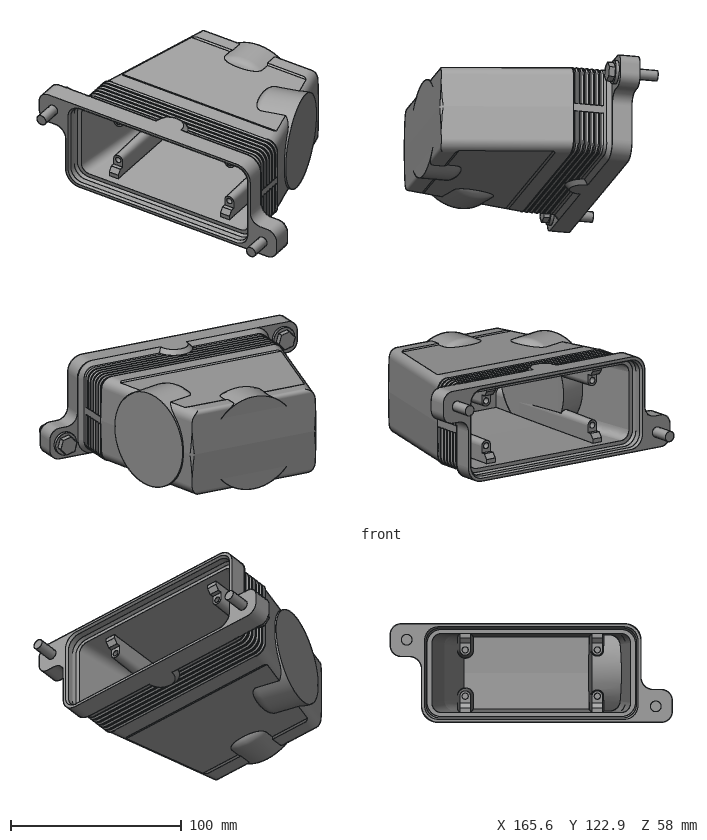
import cadquery as cq
import math

flange_half_x = 64.4
flange_half_z = 29.0
flange_height = 11.9
flange_corner = 9.6

ear_end_x = 82.8
ear_inner_z = 9.6
ear_corner = 6.6
ear_root_radius = 7.1
screw_x = 73.0
screw_z = 19.5

shank_radius = 3.1
shank_length = 12.7
washer_radius = 7.0
washer_height = 2.0
hex_circle_radius = 5.6
hex_height = 3.6
hex_turn = 13.0

collar_half_x = 61.2
collar_half_z = 26.3
collar_corner = 6.6
collar_end_y = 34.6
foot_chamfer = 2.6

groove_count = 6
groove_pitch = 3.06
first_groove_y = 17.7
groove_width = 2.3
groove_angle = 30.0
end_strip_half_z = 2.3

hood_top_y = 110.2
hood_top_half_x = 41.7
hood_draft = 2.0
hood_overlap = 3.3
hood_edge_radius = 6.5
hood_top_radius = 2.5

panel_depth = 0.5
panel_low_y = 43.5
panel_high_y = 100.0
panel_ramp = 1.5

port_radius = flange_half_z
port_end_radius = 7.0
top_port_end_y = 109.5
top_port_length = 23.2
side_port_tilt = 14.6
side_port_x = 25.5
side_port_y = 68.5
side_port_length = 26.8

pad_radius = 8.6
pad_flare = flange_half_z - collar_half_z

seat_mouth = (62.5, 27.1)
seat_waist = (61.7, 26.3)
seat_floor = (61.0, 25.5)
seat_lead_in = 1.7
seat_waist_end_y = 5.5
seat_depth = 7.6
seat_corner = 8.1
cavity_corner = 5.6
cavity_mouth = (58.3, 23.2)
cavity_waist = (50.6, 22.2)
cavity_waist_y = 61.2
cavity_back = (39.4, 21.0)
cavity_back_y = 106.0
port_wall_back_x = 33.5
port_wall_front_x = 35.5
port_wall_front_y = 46.3

post_x = 38.7
post_hole_z = 13.5
post_hole_radius = 1.8
post_hole_depth = 10.0
post_half_width = 3.1
post_reach = 10.6
post_face_y = 17.2
post_draft = 1.8
lug_y = 12.4
lug_shoulder_y = 14.7
lug_inner_z = 20.5
lug_foot_z = 17.5


def plane_at(y):
    """Plane across the hood at height y, facing up its depth, with local y along Z."""
    return cq.Plane(origin=(0, y, 0), xDir=(-1, 0, 0), normal=(0, 1, 0))


def rounded_rectangle(half_x, half_z, corner):
    return cq.Sketch().rect(2 * half_x, 2 * half_z).vertices().fillet(corner)


def rounded_block(half_x, half_z, corner, y_start, y_end, taper=0):
    outline = rounded_rectangle(half_x, half_z, corner)
    return cq.Workplane(plane_at(y_start)).placeSketch(outline).extrude(y_end - y_start, taper=taper)


def rounded_funnel(low, high, corner, y_low, y_high):
    """Straight-sided transition between two rounded rectangles."""
    lower = rounded_rectangle(*low, corner)
    upper = rounded_rectangle(*high, corner).moved(cq.Location(cq.Vector(0, 0, y_high - y_low)))
    return cq.Workplane(plane_at(y_low)).placeSketch(lower, upper).loft(ruled=True)


def box_between(x_range, y_range, z_range):
    size = [high - low for low, high in (x_range, y_range, z_range)]
    corner = (x_range[0], y_range[0], z_range[0])
    return cq.Workplane().box(*size, centered=False).translate(corner)


def half_turn(shape):
    return shape.rotate((0, 0, 0), (0, 1, 0), 180)


def both_faces(shape):
    return shape.union(shape.mirror("XY"))


def make_flange():
    ear = box_between((-ear_end_x, 0), (0, flange_height), (ear_inner_z, flange_half_z))
    ear = ear.edges("|Y and <X").fillet(ear_corner)
    plate = box_between(
        (-flange_half_x, flange_half_x), (0, flange_height), (-flange_half_z, flange_half_z)
    )
    plate = plate.edges("|Y and ((<X and <Z) or (>X and >Z))").fillet(flange_corner)
    flange = plate.union(ear).union(half_turn(ear))
    inner_corners = cq.selectors.BoxSelector(
        (-flange_half_x - 0.2, -1.7, ear_inner_z - 0.2),
        (-flange_half_x + 0.2, flange_height + 1.7, ear_inner_z + 0.2),
        boundingbox=True,
    )
    for _ in range(2):
        flange = half_turn(flange.edges(inner_corners).fillet(ear_root_radius))
    return flange


def make_screw():
    head_y = flange_height + washer_height
    shank = cq.Workplane(plane_at(-shank_length)).circle(shank_radius).extrude(shank_length + flange_height)
    washer = cq.Workplane(plane_at(flange_height)).circle(washer_radius).extrude(washer_height)
    head = cq.Workplane(plane_at(head_y)).polygon(6, 2 * hex_circle_radius).extrude(hex_height)
    head = head.rotate((0, 0, 0), (0, 1, 0), hex_turn)
    return shank.union(washer).union(head).translate((-screw_x, 0, screw_z))


def make_groove(y_middle):
    """V-shaped ring cut, interrupted by a plain strip on both narrow ends."""
    half_width = groove_width / 2
    groove = rounded_block(
        collar_half_x + 1.7, collar_half_z + 1.7, collar_corner, y_middle - half_width, y_middle + half_width
    )
    half_core = rounded_block(
        collar_half_x, collar_half_z, collar_corner, y_middle - half_width, y_middle, taper=groove_angle
    )
    mirrored_core = half_core.mirror("XZ", (0, y_middle, 0))
    strip = cq.Workplane().box(3 * collar_half_x, 2 * groove_width, 2 * end_strip_half_z)
    return groove.cut(half_core).cut(mirrored_core).cut(strip.translate((0, y_middle, 0)))


def make_collar():
    collar = rounded_block(collar_half_x, collar_half_z, collar_corner, 0, collar_end_y)
    for index in range(groove_count):
        collar = collar.cut(make_groove(first_groove_y + index * groove_pitch))
    foot = rounded_block(
        collar_half_x + foot_chamfer,
        collar_half_z + foot_chamfer,
        flange_corner,
        flange_height,
        flange_height + foot_chamfer,
        taper=45,
    )
    return collar.union(foot)


def make_panel_recess():
    profile = [
        (panel_low_y, collar_half_z),
        (panel_low_y + panel_ramp, collar_half_z - panel_depth),
        (panel_high_y - panel_ramp, collar_half_z - panel_depth),
        (panel_high_y, collar_half_z),
    ]
    recess = cq.Workplane("YZ").polyline(profile).close().extrude(collar_half_x, both=True)
    return both_faces(recess)


def make_gable(ridge_y, half_z):
    """Prism along X whose top falls away from the ridge at Z = 0 by the draft angle."""
    eaves_y = ridge_y - half_z * math.tan(math.radians(hood_draft))
    profile = [(0, -half_z), (eaves_y, -half_z), (ridge_y, 0), (eaves_y, half_z), (0, half_z)]
    return cq.Workplane("YZ").polyline(profile).close().extrude(flange_half_x, both=True)


def hood_plan(overrun):
    """Trapezoid of the hood at Z = 0, with its sloping sides running on past its top by the overrun."""
    slope = (collar_half_x - hood_top_half_x) / (hood_top_y - collar_end_y)
    low_y = collar_end_y - hood_overlap
    high_y = hood_top_y + overrun
    low_half_x = collar_half_x + hood_overlap * slope
    high_half_x = hood_top_half_x - overrun * slope
    outline = [(-low_half_x, low_y), (low_half_x, low_y), (high_half_x, high_y), (-high_half_x, high_y)]
    return cq.Workplane("XY").polyline(outline).close()


def make_hood():
    blank = both_faces(hood_plan(hood_overlap).extrude(collar_half_z, taper=hood_draft))
    blank = blank.faces("|Z").edges("not |X").fillet(hood_edge_radius)
    above_collar = box_between(
        (-flange_half_x, flange_half_x), (collar_end_y, hood_top_y), (-collar_half_z, collar_half_z)
    )
    gable = make_gable(hood_top_y, collar_half_z)
    gable = gable.edges("|X and (>Z or <Z) and (not <Y)").fillet(hood_top_radius)
    rounded_plan = hood_plan(0).extrude(collar_half_z, both=True)
    rounded_plan = rounded_plan.edges("|Z and >Y").fillet(hood_top_radius)
    hood = blank.intersect(above_collar).intersect(gable).intersect(rounded_plan)
    return hood.cut(make_panel_recess())


def make_port(length):
    """Boss along +Y from the origin, rounded at its inner end."""
    return cq.Workplane(plane_at(0)).circle(port_radius).extrude(length).faces("<Y").edges().fillet(port_end_radius)


def place_side_port(port):
    turned = port.rotate((0, 0, 0), (0, 0, 1), side_port_tilt - 90)
    return turned.translate((side_port_x, side_port_y, 0))


def make_center_pads():
    pad = cq.Workplane(
        cq.Solid.makeCone(
            pad_radius + pad_flare,
            pad_radius,
            pad_flare,
            cq.Vector(0, flange_height, collar_half_z),
            cq.Vector(0, 0, 1),
        )
    )
    root = cq.Workplane("XY").circle(pad_radius + pad_flare).extrude(-1.7).translate((0, flange_height, collar_half_z))
    pad = pad.union(root)
    above = box_between((-16.5, 16.5), (flange_height, 33.1), (0, 33.1))
    return both_faces(pad.intersect(above))


def make_cavity():
    seat = rounded_funnel(seat_mouth, seat_waist, seat_corner, 0, seat_lead_in)
    seat = seat.union(rounded_block(*seat_waist, seat_corner, seat_lead_in, seat_waist_end_y))
    seat = seat.union(rounded_funnel(seat_waist, seat_floor, seat_corner, seat_waist_end_y, seat_depth))
    front = rounded_funnel(cavity_mouth, cavity_waist, cavity_corner, seat_depth, cavity_waist_y)
    back = rounded_funnel(cavity_waist, cavity_back, cavity_corner, cavity_waist_y, cavity_back_y)
    core = front.union(back).intersect(make_gable(cavity_back_y, cavity_mouth[1]))
    port = place_side_port(cq.Workplane(plane_at(-33.1)).circle(port_radius).extrude(99.3))
    core = core.cut(port.intersect(make_port_limit()))
    post = both_faces(make_post())
    for x in (-post_x, post_x):
        core = core.cut(post.translate((x, 0, 0)))
    return seat.union(core)


def make_port_limit():
    """Space on the +X side of the drafted wall where the side boss ends inside the cavity."""
    outline = [
        (port_wall_front_x, 0),
        (port_wall_front_x, port_wall_front_y),
        (port_wall_back_x, cavity_back_y),
        (flange_half_x, cavity_back_y),
        (flange_half_x, 0),
    ]
    return cq.Workplane("XY").polyline(outline).close().extrude(flange_half_z, both=True)


def make_post():
    """Post on the +Z wall: a round-ended column with a lug reaching further toward the mouth."""
    length = cavity_back_y + 1.7 - post_face_y
    draft_angle = math.degrees(math.atan(post_draft / length))
    outline = (
        cq.Sketch()
        .push([(0, post_hole_z)])
        .circle(post_half_width)
        .reset()
        .push([(0, post_hole_z + post_reach / 2)])
        .rect(2 * post_half_width, post_reach)
        .clean()
    )
    post = cq.Workplane(plane_at(post_face_y)).placeSketch(outline).extrude(length, taper=-draft_angle)
    lug_profile = [
        (post_face_y, lug_foot_z),
        (lug_shoulder_y, lug_foot_z),
        (lug_y, lug_inner_z),
        (lug_y, post_hole_z + post_reach),
        (post_face_y, post_hole_z + post_reach),
    ]
    lug = cq.Workplane("YZ").polyline(lug_profile).close().extrude(post_half_width, both=True)
    hole = cq.Workplane(plane_at(post_face_y)).center(0, post_hole_z).circle(post_hole_radius)
    return post.union(lug).cut(hole.extrude(post_hole_depth))


def make_shell():
    top_port = make_port(top_port_length).translate((0, top_port_end_y - top_port_length, 0))
    shell = make_flange().union(make_collar()).union(make_hood()).union(make_center_pads())
    shell = shell.union(top_port).union(place_side_port(make_port(side_port_length)))
    return shell.cut(make_cavity())


def make_part():
    screw = make_screw()
    return make_shell().union(screw).union(half_turn(screw))


result = make_part()